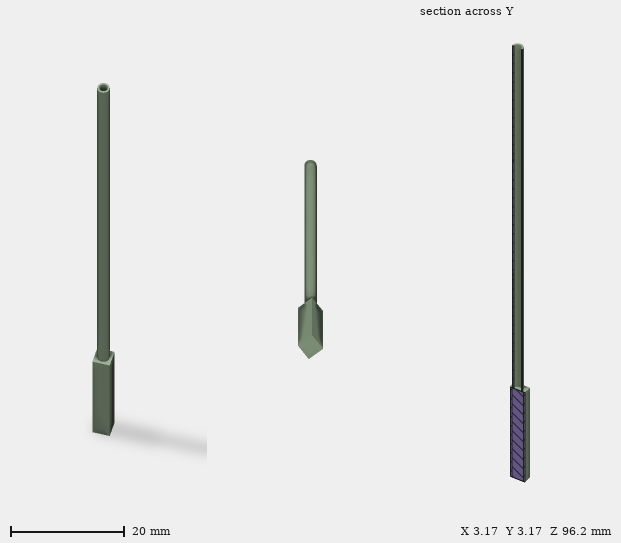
import cadquery as cq

INCH = 25.4

handle_width = INCH / 8
handle_length = 20.0

core_diameter = INCH * 3 / 32

section_count = 3
section_length = INCH
tube_diameter = 2.2
tube_bore_diameter = 1.5


def make_handle():
    """Square bar standing on the XY plane, bored through for the core."""
    return (
        cq.Workplane("XY")
        .rect(handle_width, handle_width)
        .circle(core_diameter / 2)
        .extrude(handle_length)
    )


def make_core():
    """Solid round core inside the handle; it closes the lower end of the tube bore."""
    return cq.Workplane("XY").circle(core_diameter / 2).extrude(handle_length)


def make_tube_section(base_height):
    """One length of round tube starting at the given height."""
    return (
        cq.Workplane("XY")
        .workplane(offset=base_height)
        .circle(tube_diameter / 2)
        .circle(tube_bore_diameter / 2)
        .extrude(section_length)
    )


handle = make_handle()
core = make_core()
tube_sections = [
    make_tube_section(handle_length + index * section_length)
    for index in range(section_count)
]

result = cq.Compound.makeCompound(
    [handle.val(), core.val(), *[section.val() for section in tube_sections]]
)